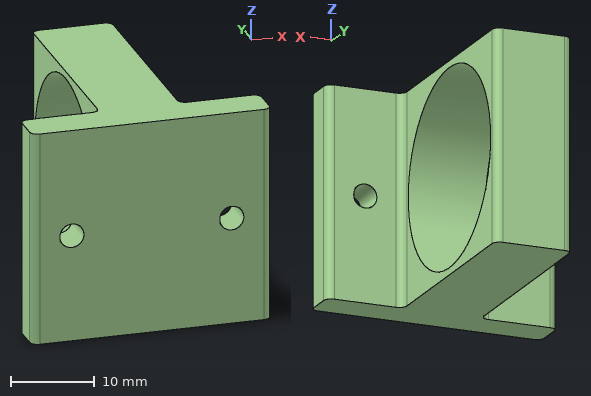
import cadquery as cq

width = 30.0
depth = 33.0
height = 27.0

plate_thickness = 5.0
stem_width = 10.0
stem_length = depth - plate_thickness
edge_radius = 1.0

bore_diameter = 25.2
screw_hole_diameter = 3.0
screw_hole_spacing = 20.0

bore_center_y = plate_thickness + stem_length / 2


def make_body():
    """T-shaped prism with every vertical edge rounded, inside corners included."""
    plate = cq.Workplane("XY").box(width, plate_thickness, height, centered=(True, False, True))
    stem = cq.Workplane("XY").box(stem_width, depth, height, centered=(True, False, True))
    return plate.union(stem, clean=True).edges("|Z").fillet(edge_radius)


def make_bore():
    """Large round opening through the sides of the stem."""
    return (
        cq.Workplane("YZ", origin=(-stem_width / 2, 0, 0))
        .center(bore_center_y, 0)
        .circle(bore_diameter / 2)
        .extrude(stem_width)
    )


def make_screw_holes():
    """Pair of holes through the plate, one on each side of the stem."""
    return (
        cq.Workplane("XZ")
        .pushPoints([(-screw_hole_spacing / 2, 0), (screw_hole_spacing / 2, 0)])
        .circle(screw_hole_diameter / 2)
        .extrude(-plate_thickness)
    )


result = make_body().cut(make_bore()).cut(make_screw_holes())